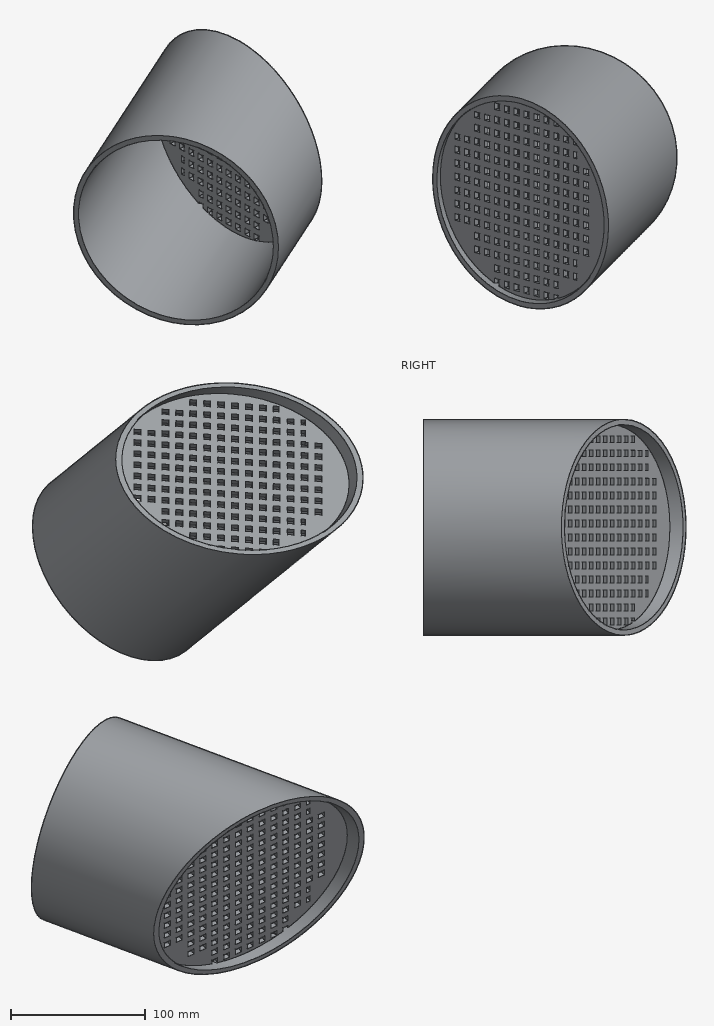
import cadquery as cq
import math

tube_length = 194.7
outer_diameter = 160.0
bore_diameter = 152.0
cut_angle = 30.0

plate_thickness = 3.9
plate_recess = 9.7

opening_size = 5.0
grid_count = 14
grid_length = 140.2
grid_shift = 2.5
grid_drop = 2.3

tall_columns = (3, 9)
tall_rows = (0, 13)
tall_left_trim = 0.8
middle_columns = (1, 11)
middle_rows = (1, 11)
middle_left_trim = 2.0
middle_top_trim = 0.5
wide_columns = (0, 13)
wide_rows = (3, 9)
wide_top_trim = 0.5

slope = math.tan(math.radians(cut_angle))
axis_length = tube_length - outer_diameter / 2 * slope
plate_length = plate_thickness / math.cos(math.radians(cut_angle))
pitch = (grid_length - opening_size) / (grid_count - 1)

plate_plane = cq.Plane(
    origin=(0, axis_length - plate_recess, 0),
    xDir=(1, -slope, 0),
    normal=(-slope, -1, 0),
)


def slanted_cylinder(diameter, setback=0):
    """Cylinder from Y = 0 to a plane parallel to the slanted end, set back from it along Y."""
    radius = diameter / 2
    centre_length = axis_length - setback
    side_profile = [
        (-radius, 0),
        (radius, 0),
        (radius, centre_length - radius * slope),
        (-radius, centre_length + radius * slope),
    ]
    side_block = cq.Workplane("XY").polyline(side_profile).close().extrude(radius, both=True)
    return cq.Workplane("XZ").circle(radius).extrude(-tube_length).intersect(side_block)


def make_tube():
    return slanted_cylinder(outer_diameter).cut(slanted_cylinder(bore_diameter))


def opening_cutters(columns, rows, left_trim=0, top_trim=0):
    """Square prisms for one block of the grid."""
    cutters = []
    for column in range(columns[0], columns[1] + 1):
        left = grid_shift - grid_length / 2 + column * pitch
        right = left + opening_size
        if column == columns[0]:
            left += left_trim
        for row in range(rows[0], rows[1] + 1):
            top = grid_length / 2 - grid_drop - row * pitch
            bottom = top - opening_size
            if row == rows[0]:
                top -= top_trim
            prism = (
                cq.Workplane(plate_plane)
                .center((left + right) / 2, (top + bottom) / 2)
                .rect(right - left, top - bottom)
                .extrude(plate_thickness)
            )
            cutters.append(prism.val())
    return cutters


def make_plate():
    outer_part = slanted_cylinder(bore_diameter, plate_recess)
    disc = outer_part.cut(slanted_cylinder(bore_diameter, plate_recess + plate_length))
    cutters = [
        *opening_cutters(tall_columns, tall_rows, left_trim=tall_left_trim),
        *opening_cutters(middle_columns, middle_rows, middle_left_trim, middle_top_trim),
        *opening_cutters(wide_columns, wide_rows, top_trim=wide_top_trim),
    ]
    return cq.Workplane(disc.val().cut(*cutters))


tube = make_tube()
plate = make_plate()
result = cq.Compound.makeCompound([*tube.solids().vals(), *plate.solids().vals()])